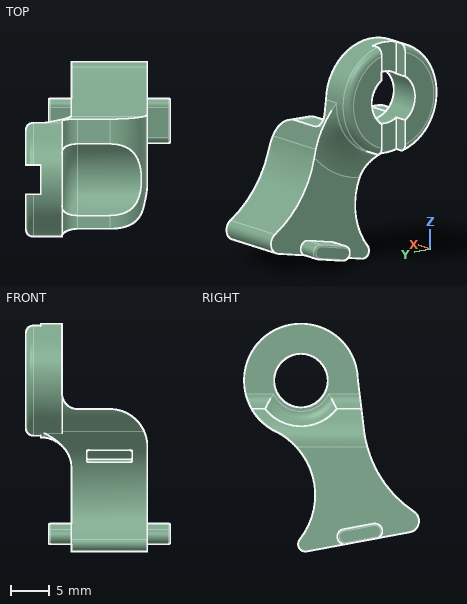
import cadquery as cq
import math

ring_radius = 7.5
ring_thickness = 4.8
bore_radius = 3.5
rim_fillet = 1.0
key_slot_width = 3.8
key_slot_depth = 1.98

arm_start = key_slot_depth
arm_end = 16.0
block_width = 10.0
block_start = arm_end - block_width
block_middle = (block_start + arm_end) / 2
arm_top_radius = 7.47
rear_waist_radius = 14.87
rear_waist_z = -4.83
front_waist_radius = 9.35
rear_foot_radius = 1.5
rear_foot = (14.03, -18.47)
front_foot_radius = 1.0
front_foot = (0.6, -21.5)

shelf_depth = 3.72
shelf_fillet = 1.98
shoulder_radius = 4.98
scoop_radius = 6.0
underside_radius = block_start - arm_start

pin_length = 16.0
pin_width = 6.0
pin_height = 2.0
pin_center_y = 7.73
pin_edge_fillet = 0.25

pocket_length = 6.0
pocket_height = 1.85
pocket_tilt = 45.0
pocket_center_z = -9.92
pocket_corner_radius = 0.3
pocket_depth = 0.3

AXIS = (0.0, 0.0)
DIAGONAL = math.sqrt(0.5)


def toward(start, target, distance):
    """Point at a given distance from start on the way to target."""
    span = math.dist(start, target)
    return tuple(a + (b - a) * distance / span for a, b in zip(start, target))


def tangent_center(center_a, radius_a, center_b, radius_b, radius):
    """Centre of a circle touching circles A and B from outside, left of the way from A to B."""
    span = math.dist(center_a, center_b)
    reach_a = radius_a + radius
    reach_b = radius_b + radius
    along = (reach_a**2 - reach_b**2 + span**2) / (2 * span)
    aside = math.sqrt(reach_a**2 - along**2)
    uy = (center_b[0] - center_a[0]) / span
    uz = (center_b[1] - center_a[1]) / span
    return (center_a[0] + along * uy - aside * uz, center_a[1] + along * uz + aside * uy)


rear_waist = (
    rear_foot[0] + math.sqrt((rear_waist_radius + rear_foot_radius) ** 2 - (rear_waist_z - rear_foot[1]) ** 2),
    rear_waist_z,
)
front_waist = tangent_center(front_foot, front_foot_radius, AXIS, arm_top_radius, front_waist_radius)

foot_span = math.dist(rear_foot, front_foot)
sole_angle = math.atan2(rear_foot[1] - front_foot[1], rear_foot[0] - front_foot[0])
sole_angle -= math.asin((rear_foot_radius - front_foot_radius) / foot_span)


def polar(center, radius, angle):
    """Point on a circle at an angle in radians from +Y towards +Z."""
    return (center[0] + radius * math.cos(angle), center[1] + radius * math.sin(angle))


rear_sole = polar(rear_foot, rear_foot_radius, sole_angle - math.pi / 2)
front_sole = polar(front_foot, front_foot_radius, sole_angle - math.pi / 2)


def midpoint(a, b):
    return ((a[0] + b[0]) / 2, (a[1] + b[1]) / 2)


def make_ring():
    ring = cq.Workplane("YZ").circle(ring_radius).extrude(ring_thickness)
    return ring.faces("<X").edges().fillet(rim_fillet)


def make_arm():
    line_angle = math.atan2(rear_waist[1], rear_waist[0])
    line_angle += math.acos((arm_top_radius + rear_waist_radius) / math.dist(AXIS, rear_waist))
    rear_top = polar(AXIS, arm_top_radius, line_angle)
    rear_line_end = polar(rear_waist, rear_waist_radius, line_angle + math.pi)
    rear_side = toward(rear_foot, rear_waist, rear_foot_radius)
    rear_mid = toward(rear_waist, midpoint(rear_line_end, rear_side), rear_waist_radius)
    front_top = toward(AXIS, front_waist, arm_top_radius)
    front_side = toward(front_foot, front_waist, front_foot_radius)
    front_mid = toward(front_waist, midpoint(front_top, front_side), front_waist_radius)
    rear_toe = (rear_foot[0] + rear_foot_radius, rear_foot[1])
    front_toe = (front_foot[0] - front_foot_radius * DIAGONAL, front_foot[1] - front_foot_radius * DIAGONAL)
    return (
        cq.Workplane("YZ", origin=(arm_start, 0, 0))
        .moveTo(*rear_top)
        .lineTo(*rear_line_end)
        .threePointArc(rear_mid, rear_side)
        .threePointArc(rear_toe, rear_sole)
        .lineTo(*front_sole)
        .threePointArc(front_toe, front_side)
        .threePointArc(front_mid, front_top)
        .threePointArc((0, arm_top_radius), rear_top)
        .close()
        .extrude(arm_end - arm_start)
    )


def fillet_mid(center_x, center_z, radius, side_x, side_z):
    return (center_x + side_x * radius * DIAGONAL, center_z + side_z * radius * DIAGONAL)


def shelf_cutter():
    """Space above the shelf and its rounded shoulder, across the whole depth of the arm."""
    shoulder_x = arm_end - shoulder_radius
    shoulder_z = -shelf_depth - shoulder_radius
    fillet_x = ring_thickness + shelf_fillet
    fillet_z = -shelf_depth + shelf_fillet
    half_depth = 4 * ring_radius
    return (
        cq.Workplane("XZ")
        .moveTo(ring_thickness, 2 * ring_radius)
        .lineTo(ring_thickness, fillet_z)
        .threePointArc(fillet_mid(fillet_x, fillet_z, shelf_fillet, -1, -1), (fillet_x, -shelf_depth))
        .lineTo(shoulder_x, -shelf_depth)
        .threePointArc(fillet_mid(shoulder_x, shoulder_z, shoulder_radius, 1, 1), (arm_end, shoulder_z))
        .lineTo(2 * arm_end, shoulder_z)
        .lineTo(2 * arm_end, 2 * ring_radius)
        .close()
        .extrude(half_depth, both=True)
    )


def scoop_cutter():
    """Round trough about the ring axis, filleted into the back of the ring."""
    fillet_x = ring_thickness + shelf_fillet
    fillet_r = scoop_radius - shelf_fillet
    return (
        cq.Workplane("XZ")
        .moveTo(ring_thickness, 0)
        .lineTo(ring_thickness, fillet_r)
        .threePointArc(fillet_mid(fillet_x, fillet_r, shelf_fillet, -1, 1), (fillet_x, scoop_radius))
        .lineTo(2 * arm_end, scoop_radius)
        .lineTo(2 * arm_end, 0)
        .close()
        .revolve(360, (0, 0, 0), (1, 0, 0))
    )


def underside_cutter():
    """Space in front of the arm below the ring, with a concave flare about the ring axis."""
    outer = arm_top_radius + underside_radius
    far = 4 * ring_radius
    return (
        cq.Workplane("XZ")
        .moveTo(arm_start, arm_top_radius)
        .threePointArc(fillet_mid(arm_start, outer, underside_radius, 1, -1), (block_start, outer))
        .lineTo(block_start, far)
        .lineTo(0, far)
        .lineTo(0, arm_top_radius)
        .close()
        .revolve(360, (0, 0, 0), (1, 0, 0))
    )


def make_pin():
    sole_y, sole_z = rear_sole
    center_z = sole_z + (pin_center_y - sole_y) * math.tan(sole_angle)
    center_z += pin_height / 2 / math.cos(sole_angle)
    return (
        cq.Workplane("YZ", origin=(block_middle - pin_length / 2, pin_center_y, center_z))
        .slot2D(pin_width, pin_height, math.degrees(sole_angle))
        .extrude(pin_length)
        .faces("<X or >X")
        .edges()
        .fillet(pin_edge_fillet)
    )


def pocket_cutter():
    rise = pocket_center_z - front_waist[1]
    face_y = front_waist[0] + math.sqrt(front_waist_radius**2 - rise**2)
    pocket = (
        cq.Workplane("XZ")
        .rect(pocket_length, pocket_height)
        .extrude(2 * pocket_depth)
        .edges("|Y")
        .fillet(pocket_corner_radius)
        .translate((0, pocket_depth, 0))
    )
    pocket = pocket.rotate((0, 0, 0), (1, 0, 0), pocket_tilt)
    return pocket.translate((block_middle, face_y, pocket_center_z))


arm = make_arm().cut(underside_cutter()).cut(shelf_cutter()).cut(scoop_cutter())
body = make_ring().union(arm).union(make_pin())

bore = cq.Workplane("YZ").circle(bore_radius).extrude(ring_thickness)
key_slot = cq.Workplane("YZ").rect(key_slot_width, 2 * ring_radius).extrude(key_slot_depth)

result = body.cut(bore).cut(key_slot).cut(pocket_cutter())